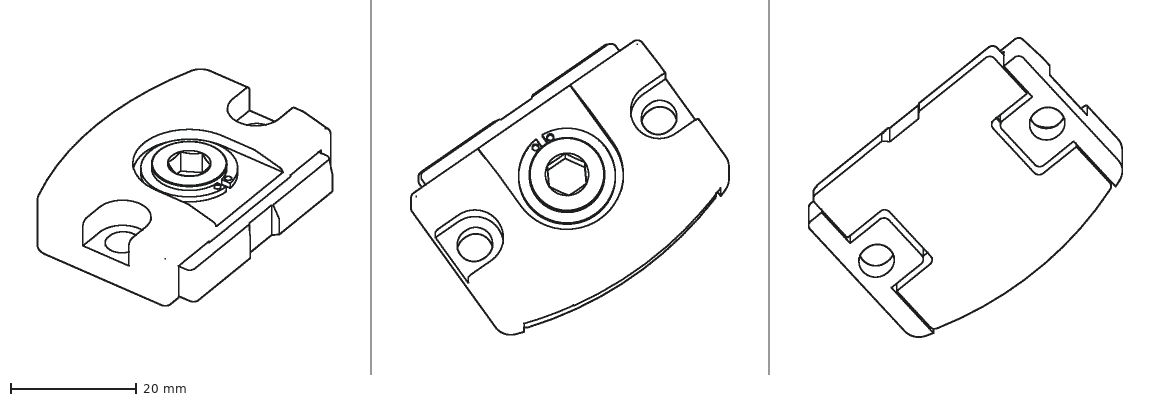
import cadquery as cq
import math

length = 33.5
width = 45.0
height = 10.0
cover_right = 30.5
back_radius = 60.0
corner_radius = 3.0
edge_radius = 1.0
slope_start = 24.9
slope_angle = 15.0

overshoot = 0.45

axis_x = 18.5

hole_y = 18.0
hole_width = 5.35
hole_length = 5.7
seat_radius = 4.55
seat_floor = 5.0

recess_radius = 9.0
recess_floor = 8.0
head_radius = 6.05
head_top = 9.9
head_chamfer = 0.15
ring_radius = 7.75
ring_top = 9.0
ring_gap = 1.15
ring_hole_radius = 0.55
ring_hole_x = 6.65
ring_hole_y = 1.45
hex_flats = 6.0
hex_depth = 3.85
countersink_slope = 30.0

jaw_top = 6.0
jaw_width = 37.9
jaw_back = 0.55
jaw_slope_height = 3.0
jaw_slope_run = 0.7
notch_depth = 0.9
notch_half_width = 3.0
channel_width = 38.45
relief_inner_y = 11.02
relief_top = 6.3
post_inner_y = 11.92
post_half_length = 5.05
post_corner_radius = 1.05
post_clearance = 1.0


def arc_x(start, y):
    """X of the back arc with its apex at (start, 0)."""
    return start + back_radius - math.sqrt(back_radius**2 - y**2)


def arched_block(start, end, block_width, top):
    """Block from z = 0 whose -X side is the large arc."""
    half = block_width / 2
    corner_x = arc_x(start, half)
    return (
        cq.Workplane("XY")
        .moveTo(end, -half)
        .lineTo(end, half)
        .lineTo(corner_x, half)
        .threePointArc((start, 0), (corner_x, -half))
        .close()
        .extrude(top)
    )


def box(x0, x1, y0, y1, z0, z1):
    return cq.Workplane("XY").box(x1 - x0, y1 - y0, z1 - z0, centered=False).translate((x0, y0, z0))


def cylinder(radius, z0, z1, x=axis_x, y=0.0):
    return cq.Workplane("XY").workplane(offset=z0).center(x, y).circle(radius).extrude(z1 - z0)


def cover_shell():
    """Rounded cover block with its sloped +X top edge."""
    block = arched_block(0, cover_right, width, height)
    drop = (cover_right - slope_start) * math.tan(math.radians(slope_angle))
    slope = (
        cq.Workplane("XZ")
        .moveTo(slope_start, height)
        .lineTo(cover_right, height)
        .lineTo(cover_right, height - drop)
        .close()
        .extrude(width / 2, both=True)
    )
    block = block.cut(slope)
    block = block.edges("|Z").edges("<X").fillet(corner_radius)
    block = block.edges("|Z").edges(">X").fillet(edge_radius)
    above_middle = cq.selectors.BoxSelector(
        (-overshoot, -width, height / 2 + edge_radius), (length, width, height + overshoot)
    )
    return block.edges(above_middle).fillet(edge_radius)


def post(side, growth):
    """Post around one mounting hole, enlarged by growth on its free sides."""
    half = post_half_length + growth
    inner = post_inner_y - growth
    block = box(axis_x - half, axis_x + half, inner, width / 2, 0, relief_top)
    block = block.edges("|Z").edges("<Y").fillet(post_corner_radius)
    return block if side > 0 else block.mirror("XZ")


def channel():
    """Space under the cover: the jaw channel with its roof reliefs, minus the posts."""
    space = box(-overshoot, length, -channel_width / 2, channel_width / 2, 0, jaw_top)
    for side in (-1, 1):
        inner, outer = sorted((side * relief_inner_y, side * channel_width / 2))
        space = space.union(box(-overshoot, length, inner, outer, 0, relief_top))
        space = space.cut(post(side, 0))
    return space


def seat(side):
    """Open-ended seat and through slot of one mounting hole."""
    y = side * hole_y
    y0, y1 = sorted((y, side * width))
    cut = cylinder(seat_radius, seat_floor, height + overshoot, y=y)
    cut = cut.union(box(axis_x - seat_radius, axis_x + seat_radius, y0, y1, seat_floor, height + overshoot))
    hole = cq.Workplane("XY").center(axis_x, y).slot2D(hole_length, hole_width, 90).extrude(height)
    return cut.union(hole)


def screw_recess():
    recess = cylinder(recess_radius, recess_floor, height + overshoot)
    return recess.union(box(axis_x, length, -recess_radius, recess_radius, recess_floor, height + overshoot))


def retaining_ring():
    ring = cylinder(ring_radius, recess_floor, ring_top)
    ring = ring.cut(box(axis_x, length, -ring_gap / 2, ring_gap / 2, recess_floor, ring_top))
    for side in (-1, 1):
        ring = ring.cut(
            cylinder(ring_hole_radius, recess_floor, ring_top, axis_x + ring_hole_x, side * ring_hole_y)
        )
    return ring


def screw_head():
    return cylinder(head_radius, recess_floor, head_top).faces(">Z").edges().chamfer(head_chamfer)


def hex_socket():
    """Hexagon with corners on Y, opened by a countersink across its corners."""
    sides = 6
    corners = hex_flats / math.cos(math.pi / sides)
    hexagon = (
        cq.Workplane("XY")
        .workplane(offset=head_top - hex_depth)
        .center(axis_x, 0)
        .transformed(rotate=(0, 0, 90))
        .polygon(sides, corners)
        .extrude(hex_depth)
    )
    cone_radius = corners / 2
    cone_depth = cone_radius * math.tan(math.radians(countersink_slope))
    cone = cq.Solid.makeCone(
        0, cone_radius, cone_depth, pnt=cq.Vector(axis_x, 0, head_top - cone_depth)
    )
    return hexagon.union(cq.Workplane(cone))


def make_cover():
    cover = cover_shell().cut(channel()).cut(screw_recess())
    cover = cover.union(retaining_ring()).union(screw_head()).cut(hex_socket())
    for side in (-1, 1):
        cover = cover.cut(seat(side))
    return cover


def make_jaw():
    jaw = arched_block(jaw_back, length, jaw_width, jaw_top)
    tilt = (
        cq.Workplane("XZ")
        .moveTo(length, jaw_slope_height)
        .lineTo(length, jaw_top)
        .lineTo(length - jaw_slope_run, jaw_top)
        .close()
        .extrude(width / 2, both=True)
    )
    notch = (
        cq.Workplane("XY")
        .moveTo(length - notch_depth, -notch_half_width)
        .lineTo(length - notch_depth, notch_half_width)
        .lineTo(length, notch_half_width + notch_depth)
        .lineTo(length, -notch_half_width - notch_depth)
        .close()
        .extrude(jaw_top)
    )
    jaw = jaw.cut(tilt)
    front_corners = cq.selectors.BoxSelector((cover_right, -width, 0), (length + overshoot, width, jaw_top))
    jaw = jaw.edges("|Z").edges("<X").fillet(edge_radius)
    jaw = jaw.edges(front_corners).edges("not(|Y)").edges("not(|X)").fillet(edge_radius)
    jaw = jaw.cut(notch)
    for side in (-1, 1):
        jaw = jaw.cut(post(side, post_clearance))
    return jaw


cover = make_cover()
jaw = make_jaw()
result = cq.Compound.makeCompound([cover.val(), jaw.val()])